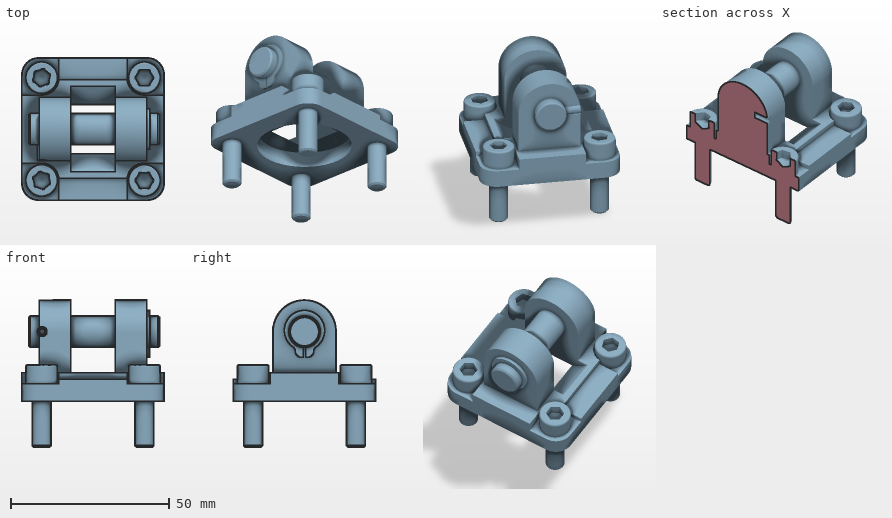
import cadquery as cq
import math


screw_offset = 16.25

flange_side = 45.0
flange_corner_radius = 5.5
flange_height = 9.0
step_height = 7.0
step_half_width = 15.6
seat_height = 5.5
seat_corner_radius = 5.5
seat_inner_edge = screw_offset - seat_corner_radius
spigot_recess_diameter = 30.0
spigot_recess_depth = 4.98

axis_height = 22.0
lug_radius = 10.0
lug_thickness = 10.0
lug_gap = 14.0
lug_outer_face = lug_gap / 2 + lug_thickness
clearance_radius = 18.7

pin_diameter = 10.0
pin_left_end = -20.27
pin_right_end = 21.0
pin_chamfer = 0.5
groove_diameter = 9.5
groove_width = 1.1

ring_thickness = 0.95
ring_outer_radius = 6.35
ring_offset = 0.35
ring_gap = 0.75
ear_width = 2.55
ear_corner_radius = 1.9
ear_corner_drop = 6.2

spring_pin_diameter = 3.0
spring_pin_bore = 1.8
spring_pin_x = -16.05
spring_pin_chamfer_length = 0.33
spring_pin_chamfer_width = 0.2
slit_width = 0.3
slit_tilt = 5

shank_diameter = 6.0
shank_length = 20.0
shank_chamfer = 0.55
head_diameter = 10.0
head_height = 6.0
head_edge_radius = 0.6
socket_corner_diameter = 5.75
socket_depth = 3.0
socket_cone_angle = 120
turned_socket_angle = 19


def box(x_range, y_range, z_range):
    """Axis-aligned box between the given limits."""
    size = [high - low for low, high in (x_range, y_range, z_range)]
    return cq.Workplane("XY").box(*size, centered=False).translate((x_range[0], y_range[0], z_range[0]))


def x_cylinder(radius, x_start, x_end):
    """Cylinder lying along the cross pin axis."""
    plane = cq.Workplane("YZ", origin=(x_start, 0, axis_height))
    return plane.circle(radius).extrude(x_end - x_start)


def make_flange():
    half_side = flange_side / 2
    flange = (
        cq.Workplane("XY")
        .rect(flange_side, flange_side)
        .extrude(flange_height)
        .edges("|Z")
        .fillet(flange_corner_radius)
    )
    edge_strip = box((-half_side, half_side), (step_half_width, half_side), (step_height, flange_height))
    flange = flange.cut(edge_strip).cut(edge_strip.mirror("XZ"))
    seat_side = 2 * (half_side - seat_inner_edge)
    seats = (
        cq.Workplane("XY", origin=(0, 0, seat_height))
        .rect(flange_side, flange_side, forConstruction=True)
        .vertices()
        .rect(seat_side, seat_side)
        .extrude(flange_height - seat_height)
        .edges("|Z")
        .fillet(seat_corner_radius)
    )
    return flange.cut(seats)


def make_lug(x_start):
    upright = box(
        (x_start, x_start + lug_thickness), (-lug_radius, lug_radius), (flange_height, axis_height)
    )
    return upright.union(x_cylinder(lug_radius, x_start, x_start + lug_thickness))


def make_cross_pin():
    pin = x_cylinder(pin_diameter / 2, pin_left_end, pin_right_end).faces("<X or >X").chamfer(pin_chamfer)
    groove_end = lug_outer_face + groove_width
    groove = x_cylinder(pin_diameter, lug_outer_face, groove_end)
    groove_floor = x_cylinder(groove_diameter / 2, lug_outer_face, groove_end)
    return pin.cut(groove.cut(groove_floor))


def make_ring_ear():
    """Ear with a rounded outer corner and a concave side arc tangent to both the ear and the ring."""
    inner_edge = ring_gap / 2
    outer_edge = inner_edge + ear_width
    ear_bottom = -ear_corner_drop - ear_corner_radius
    drop = ear_corner_drop + ring_offset
    sweep_radius = (outer_edge**2 + drop**2 - ring_outer_radius**2) / (2 * (ring_outer_radius - outer_edge))
    sweep_center_y = outer_edge + sweep_radius
    tangent_angle = math.atan2(drop, -sweep_center_y)

    def sweep_point(angle):
        return (
            sweep_center_y + sweep_radius * math.cos(angle),
            -ear_corner_drop + sweep_radius * math.sin(angle),
        )

    outline = (
        cq.Workplane("YZ", origin=(lug_outer_face, 0, axis_height))
        .moveTo(inner_edge, ring_offset)
        .lineTo(inner_edge, ear_bottom)
        .lineTo(outer_edge - ear_corner_radius, ear_bottom)
        .tangentArcPoint((outer_edge, -ear_corner_drop), relative=False)
        .threePointArc(sweep_point((math.pi + tangent_angle) / 2), sweep_point(tangent_angle))
        .close()
    )
    return outline.extrude(ring_thickness)


def make_retaining_ring():
    ring = x_cylinder(ring_outer_radius, lug_outer_face, lug_outer_face + ring_thickness)
    ring = ring.translate((0, 0, ring_offset))
    ear = make_ring_ear()
    ring = ring.union(ear).union(ear.mirror("XZ"))
    opening = box(
        (lug_outer_face, lug_outer_face + ring_thickness),
        (-ring_gap / 2, ring_gap / 2),
        (axis_height - ring_outer_radius, axis_height),
    )
    bore = x_cylinder(groove_diameter / 2, lug_outer_face, lug_outer_face + ring_thickness)
    return ring.cut(opening).cut(bore)


def make_spring_pin_slot():
    """Round-ended slot in the left lug, open to its outer face and its front edge."""
    radius = spring_pin_diameter / 2
    plane = cq.Plane.named("XZ", (spring_pin_x, 0, axis_height))
    open_side = cq.Workplane(plane).center(-radius, 0).rect(2 * radius, spring_pin_diameter)
    round_end = cq.Workplane(plane).circle(radius)
    return round_end.extrude(lug_radius).union(open_side.extrude(lug_radius))


def make_spring_pin():
    plane = cq.Plane.named("XZ", (spring_pin_x, 0, axis_height))
    pin = (
        cq.Workplane(plane)
        .circle(spring_pin_diameter / 2)
        .extrude(lug_radius)
        .faces("<Y")
        .chamfer(spring_pin_chamfer_length, spring_pin_chamfer_width)
    )
    slit = (
        cq.Workplane(plane)
        .transformed(rotate=(0, 0, slit_tilt))
        .center(0, spring_pin_diameter / 2)
        .rect(slit_width, spring_pin_diameter)
        .extrude(lug_radius)
    )
    bore = cq.Workplane(plane).circle(spring_pin_bore / 2).extrude(lug_radius)
    return pin.cut(bore).cut(slit)


def make_screw(socket_angle):
    """Screw with its head seated on Z = seat_height and its shank pointing down."""
    head_top = seat_height + head_height
    seat_plane = cq.Workplane("XY", origin=(0, 0, seat_height))
    head = seat_plane.circle(head_diameter / 2).extrude(head_height)
    head = head.faces(">Z").edges().fillet(head_edge_radius)
    shank = seat_plane.circle(shank_diameter / 2).extrude(-shank_length).faces("<Z").chamfer(shank_chamfer)
    socket = (
        cq.Workplane("XY", origin=(0, 0, head_top))
        .transformed(rotate=(0, 0, socket_angle))
        .polygon(6, socket_corner_diameter)
        .extrude(-socket_depth)
    )
    cone_radius = socket_corner_diameter / 2
    cone_depth = cone_radius / math.tan(math.radians(socket_cone_angle / 2))
    socket_floor = head_top - socket_depth
    cone = cq.Workplane(
        cq.Solid.makeCone(cone_radius, 0, cone_depth, cq.Vector(0, 0, socket_floor), cq.Vector(0, 0, -1))
    )
    return head.union(shank).cut(socket).cut(cone)


bracket = make_flange()
for lug_start in (-lug_outer_face, lug_gap / 2):
    bracket = bracket.union(make_lug(lug_start))

bracket = bracket.cut(x_cylinder(clearance_radius, -lug_gap / 2, lug_gap / 2))
spigot_recess = cq.Workplane("XY").circle(spigot_recess_diameter / 2).extrude(spigot_recess_depth)
bracket = bracket.cut(spigot_recess)

bracket = bracket.cut(make_spring_pin_slot()).union(make_spring_pin())
bracket = bracket.union(make_cross_pin()).union(make_retaining_ring())

for x_side in (-1, 1):
    for y_side in (-1, 1):
        angle = y_side * turned_socket_angle if x_side < 0 else 0
        screw = make_screw(angle).translate((x_side * screw_offset, y_side * screw_offset, 0))
        bracket = bracket.union(screw)

result = bracket